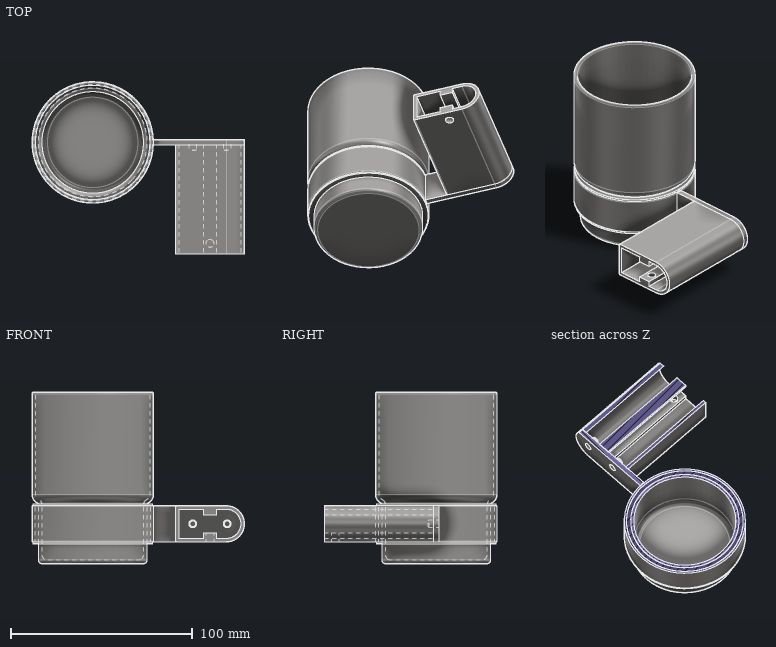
import math
import cadquery as cq


cup_radius = 33.5
cup_wall = 2.0
cup_height = 94.5
cup_bottom_z = -22.0
rim_radius = cup_wall / 2
rim_base_z = cup_bottom_z + cup_height - rim_radius
shoulder_top_z = 16.0
shoulder_step = 3.5
shoulder_arc = 3.0
floor_fillet = 3.0
foot_fillet = 2.0
foot_radius = cup_radius - shoulder_step

band_height = 20.0
ring_radius = cup_radius
ring_wall = 1.5
ring_fillet = 0.5
ring_bore = ring_radius - ring_wall
lip_height = 1.0
lip_radius = ring_radius - ring_fillet
bore_easing = 0.5

arm_thickness = 3.0
arm_end_x = 83.5
post_width = 38.0
post_length = 60.0
post_wall = 2.0
post_corner_fillet = 1.0
post_left_x = arm_end_x - post_width
post_back_y = -arm_thickness / 2
post_front_y = post_back_y - post_length
cavity_left_x = post_left_x + post_wall
cavity_height = band_height - 2 * post_wall
cavity_middle_x = (cavity_left_x + arm_end_x - post_wall) / 2

lug_width = 7.0
lug_height = 3.0
lug_hole_diameter = 4.3
lug_hole_inset = 6.0

stud_diameter = 4.2
stud_chamfer = 0.5
stud_protrusion = 3.0
stud_spacing = 19.0
stud_length = arm_thickness + stud_protrusion
stud_positions_x = [cavity_middle_x + side * stud_spacing / 2 for side in (-1, 1)]


def arc_point(center_x, center_z, radius, angle):
    """Point on a circle in the XZ plane, with the angle in radians from +X."""
    return (center_x + radius * math.cos(angle), center_z + radius * math.sin(angle))


def revolved_shoulder_body(radius, bottom_z, upper_arc, lower_arc):
    """Solid of revolution: a wide cylinder joined by an S-shaped shoulder to a narrower foot."""
    sweep = math.acos(1 - shoulder_step / (upper_arc + lower_arc))
    foot_top_z = shoulder_top_z - (upper_arc + lower_arc) * math.sin(sweep)
    narrow_radius = radius - shoulder_step
    upper_center = (radius - upper_arc, shoulder_top_z)
    lower_center = (narrow_radius + lower_arc, foot_top_z)
    return (
        cq.Workplane("XZ")
        .moveTo(0, rim_base_z)
        .lineTo(radius, rim_base_z)
        .lineTo(radius, shoulder_top_z)
        .threePointArc(
            arc_point(*upper_center, upper_arc, -sweep / 2),
            arc_point(*upper_center, upper_arc, -sweep),
        )
        .threePointArc(
            arc_point(*lower_center, lower_arc, math.pi - sweep / 2),
            (narrow_radius, foot_top_z),
        )
        .lineTo(narrow_radius, bottom_z)
        .lineTo(0, bottom_z)
        .close()
        .revolve(360, (0, 0, 0), (0, 1, 0))
    )


def make_tumbler():
    """Cup of even wall thickness with a stepped foot and a full-round rim."""
    outside = revolved_shoulder_body(
        cup_radius, cup_bottom_z, shoulder_arc + cup_wall, shoulder_arc - cup_wall
    )
    outside = outside.faces("<Z").edges().fillet(foot_fillet)
    inside = revolved_shoulder_body(
        cup_radius - cup_wall, cup_bottom_z + cup_wall, shoulder_arc, shoulder_arc
    )
    inside = inside.faces("<Z").edges().fillet(floor_fillet)
    rim = (
        cq.Workplane("XZ")
        .center(cup_radius - rim_radius, rim_base_z)
        .circle(rim_radius)
        .revolve(360, (rim_radius - cup_radius, 0, 0), (rim_radius - cup_radius, 1, 0))
    )
    return outside.cut(inside).union(rim)


def centered_cylinder(radius, height):
    """Cylinder on the cup axis, centred on Z = 0."""
    return cq.Workplane("XY", origin=(0, 0, -height / 2)).circle(radius).extrude(height)


def make_ring():
    """Plain ring with rounded outer edges."""
    blank = centered_cylinder(ring_radius, band_height).faces("|Z").edges().fillet(ring_fillet)
    return blank.cut(centered_cylinder(ring_bore, band_height))


def make_liner():
    """Sleeve in the ring bore with a thin lip over each end of the ring."""
    liner_height = band_height + 2 * lip_height
    spool = centered_cylinder(lip_radius, liner_height)
    groove = centered_cylinder(lip_radius, band_height).cut(centered_cylinder(ring_bore, band_height))
    bore = centered_cylinder(foot_radius, liner_height)
    liner = spool.cut(groove).cut(bore)
    bore_edge = liner.faces(">Z").edges(cq.selectors.RadiusNthSelector(0))
    return bore_edge.fillet(bore_easing)


def round_ended_bar(left_x, right_x, height, back_y, length):
    """Bar along -Y with a square left side and a half-round right side."""
    radius = height / 2
    return (
        cq.Workplane("XZ", origin=(0, back_y, 0))
        .moveTo(left_x, -radius)
        .lineTo(right_x - radius, -radius)
        .threePointArc((right_x, 0), (right_x - radius, radius))
        .lineTo(left_x, radius)
        .close()
        .extrude(length)
    )


def make_arm():
    """Flat arm that butts against the ring and has a hole for each stud."""
    arm = round_ended_bar(0, arm_end_x, band_height, arm_thickness / 2, arm_thickness)
    arm = arm.cut(centered_cylinder(ring_radius, band_height))
    for x in stud_positions_x:
        hole = (
            cq.Workplane("XZ", origin=(x, arm_thickness / 2, 0))
            .circle(stud_diameter / 2)
            .extrude(arm_thickness)
        )
        arm = arm.cut(hole)
    return arm


def make_post():
    """Hollow post with two facing lugs; the lower lug has a vertical screw hole."""
    post = round_ended_bar(post_left_x, arm_end_x, band_height, post_back_y, post_length)
    post = post.edges("|Y and <X").fillet(post_corner_fillet)
    cavity = round_ended_bar(
        cavity_left_x, arm_end_x - post_wall, cavity_height, post_back_y, post_length
    )
    for side in (-1, 1):
        lug = cq.Workplane("XY").box(lug_width, post_length, lug_height).translate(
            (
                cavity_middle_x,
                (post_back_y + post_front_y) / 2,
                side * (cavity_height - lug_height) / 2,
            )
        )
        cavity = cavity.cut(lug)
    lug_hole = (
        cq.Workplane("XY", origin=(cavity_middle_x, post_front_y + lug_hole_inset, -band_height / 2))
        .circle(lug_hole_diameter / 2)
        .extrude(post_wall + lug_height)
    )
    return post.cut(cavity).cut(lug_hole)


def make_stud(x):
    """Round stud, flush with the back of the arm, with a chamfered front end."""
    return (
        cq.Workplane("XZ", origin=(x, arm_thickness / 2, 0))
        .circle(stud_diameter / 2)
        .extrude(stud_length)
        .faces("<Y")
        .edges()
        .chamfer(stud_chamfer)
    )


tumbler = make_tumbler()
ring = make_ring()
liner = make_liner()
arm = make_arm()
post = make_post()
studs = [make_stud(x) for x in stud_positions_x]

result = cq.Compound.makeCompound(
    [
        tumbler.val(),
        ring.val(),
        liner.val(),
        arm.val(),
        post.val(),
        *[stud.val() for stud in studs],
    ]
)